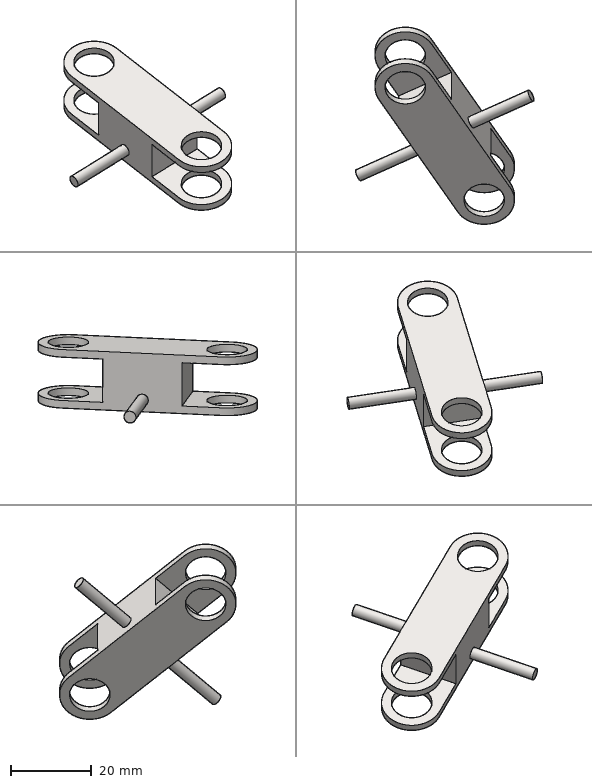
import cadquery as cq

length = 55.0
width = 15.0
height = 15.0
plate_thickness = 2.0
block_length = 20.0

hole_diameter = 10.0
hole_spacing = length - width

span_y = 49.0
pin_diameter = 3.0
pin_length = (span_y - width) / 2
front_pin_height = 4.0
back_pin_height = 3.0


def link_plate(bottom):
    """Round-ended plate with a hole at each end."""
    return (
        cq.Workplane("XY", origin=(0, 0, bottom))
        .slot2D(length, width)
        .extrude(plate_thickness)
        .faces(">Z")
        .workplane(origin=(0, 0, bottom + plate_thickness))
        .pushPoints([(-hole_spacing / 2, 0), (hole_spacing / 2, 0)])
        .hole(hole_diameter)
    )


def side_pin(side, pin_height):
    """Pin from the block centre outwards; side is -1 for -Y and +1 for +Y."""
    return (
        cq.Workplane("XZ", origin=(0, 0, pin_height))
        .circle(pin_diameter / 2)
        .extrude(-side * (width / 2 + pin_length))
    )


block = cq.Workplane("XY").box(block_length, width, height, centered=(True, True, False))

result = (
    block
    .union(link_plate(0))
    .union(link_plate(height - plate_thickness))
    .union(side_pin(-1, front_pin_height))
    .union(side_pin(1, back_pin_height))
)